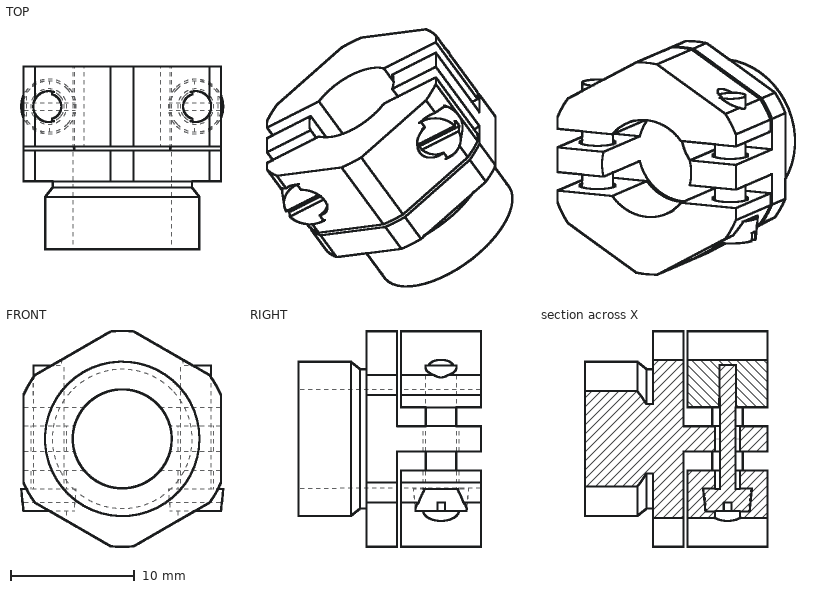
import cadquery as cq
import math

ACROSS_FLATS = 16.0
CORNER_DIAMETER = 17.5
BORE_DIAMETER = 8.0
FLANGE_LENGTH = 2.5
SAW_CUT = 0.3
CLAMP_LENGTH = 6.5
HEAD_LENGTH = FLANGE_LENGTH + SAW_CUT + CLAMP_LENGTH
CLAMP_START = FLANGE_LENGTH + SAW_CUT

ARM_THICKNESS = 2.05
CLAMP_FACE_Z = 2.55

SPIGOT_DIAMETER = 12.5
SPIGOT_LENGTH = 5.5
NECK_DIAMETER = 11.3
NECK_LENGTH = 0.5
TAPER_END = 1.25

SIDES = (-1, 1)
SCREW_X = 5.95
SCREW_Y = CLAMP_START + CLAMP_LENGTH / 2
SCREW_DIAMETER = 2.5
SCREW_TIP_Z = 5.95
SCREW_HEAD_DIAMETER = 4.46
SCREW_HEAD_HEIGHT = 1.8
SCREW_HEAD_TAPER_DEGREES = 5
SEAT_Z = -4.05
HEAD_END_Z = SEAT_Z - SCREW_HEAD_HEIGHT
DRIVE_SLOT_WIDTH = 0.6
DRIVE_SLOT_DEPTH = 0.7

TIP_HOLE_DIAMETER = 2.05
CLEARANCE_DIAMETER = 2.9


def cylinder_along_y(diameter, start, end):
    return cq.Workplane("XZ", origin=(0, start, 0)).circle(diameter / 2).extrude(start - end)


def hex_prism(start, end):
    """Hexagon with vertical side flats, its corners turned down to a circle, with the bore through it."""
    length = end - start
    corner_to_corner = ACROSS_FLATS / math.cos(math.pi / 6)
    hexagon = (
        cq.Workplane("XZ", origin=(0, start, 0))
        .transformed(rotate=(0, 0, 30))
        .polygon(6, corner_to_corner)
        .extrude(-length)
    )
    turned = hexagon.intersect(cylinder_along_y(CORNER_DIAMETER, start, end))
    return turned.cut(cylinder_along_y(BORE_DIAMETER, start, end))


def screw_blank(side):
    """Shank and tapered head, without the drive slot."""
    seat_radius = SCREW_HEAD_DIAMETER / 2
    end_radius = seat_radius - SCREW_HEAD_HEIGHT * math.tan(math.radians(SCREW_HEAD_TAPER_DEGREES))
    shank_radius = SCREW_DIAMETER / 2
    profile = [
        (0, HEAD_END_Z),
        (end_radius, HEAD_END_Z),
        (seat_radius, SEAT_Z),
        (shank_radius, SEAT_Z),
        (shank_radius, SCREW_TIP_Z),
        (0, SCREW_TIP_Z),
    ]
    blank = cq.Workplane("XZ").polyline(profile).close().revolve(360, (0, 0, 0), (0, 1, 0))
    return blank.translate((side * SCREW_X, SCREW_Y, 0))


def screw(side):
    drive_slot = cq.Workplane("XY").box(
        SCREW_HEAD_DIAMETER, DRIVE_SLOT_WIDTH, DRIVE_SLOT_DEPTH, centered=(True, True, False)
    )
    return screw_blank(side).cut(drive_slot.translate((side * SCREW_X, SCREW_Y, HEAD_END_Z)))


def screw_passage(side, diameter):
    """Round passage along the whole screw axis."""
    center = (side * SCREW_X, SCREW_Y, 0)
    return cq.Workplane("XY", origin=center).circle(diameter / 2).extrude(CORNER_DIAMETER, both=True)


def clamp_half(direction):
    """Clamp half above (direction 1) or below (direction -1) the arms."""
    kept_center_z = direction * (CLAMP_FACE_Z + CORNER_DIAMETER / 2)
    kept_side = cq.Workplane("XY").box(CORNER_DIAMETER, 2 * HEAD_LENGTH, CORNER_DIAMETER)
    kept_side = kept_side.translate((0, HEAD_LENGTH, kept_center_z))
    half = hex_prism(CLAMP_START, HEAD_LENGTH).intersect(kept_side)
    passage_diameter = TIP_HOLE_DIAMETER if direction > 0 else CLEARANCE_DIAMETER
    for side in SIDES:
        half = half.cut(screw_passage(side, passage_diameter)).cut(screw_blank(side))
    return half


def spigot():
    """Plain front barrel that tapers down to a neck at the flange."""
    bore_radius = BORE_DIAMETER / 2
    barrel_radius = SPIGOT_DIAMETER / 2
    neck_radius = NECK_DIAMETER / 2
    profile = [
        (bore_radius, 0),
        (neck_radius, 0),
        (neck_radius, -NECK_LENGTH),
        (barrel_radius, -TAPER_END),
        (barrel_radius, -SPIGOT_LENGTH),
        (bore_radius, -SPIGOT_LENGTH),
    ]
    return cq.Workplane("XY").polyline(profile).close().revolve(360, (0, 0, 0), (0, 1, 0))


def housing():
    """Spigot, flange and the two side arms that the screws pass through."""
    arm_band = cq.Workplane("XY").box(CORNER_DIAMETER, 2 * HEAD_LENGTH, ARM_THICKNESS)
    arms = hex_prism(FLANGE_LENGTH, HEAD_LENGTH).intersect(arm_band.translate((0, HEAD_LENGTH, 0)))
    for side in SIDES:
        arms = arms.cut(screw_passage(side, CLEARANCE_DIAMETER))
    return spigot().union(hex_prism(0, FLANGE_LENGTH)).union(arms)


body = housing()
clamp_halves = [clamp_half(direction) for direction in (1, -1)]
screws = [screw(side) for side in SIDES]

result = cq.Compound.makeCompound([part.solids().val() for part in [body, *clamp_halves, *screws]])